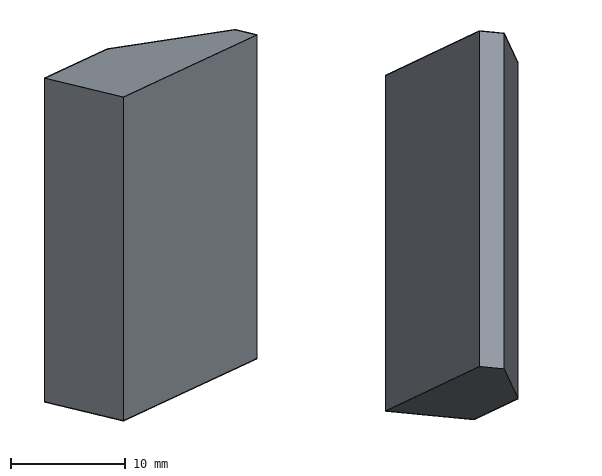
import cadquery as cq
import math

width = 8.5
depth = 20.0
height = 30.0

tip_width = 2.37
bevel_angle = 30.0
bevel_run = width - tip_width
bevel_length = bevel_run / math.tan(math.radians(bevel_angle))

outline = [
    (0, 0),
    (width, 0),
    (width, depth),
    (bevel_run, depth),
    (0, depth - bevel_length),
]
result = cq.Workplane("XY").polyline(outline).close().extrude(height)